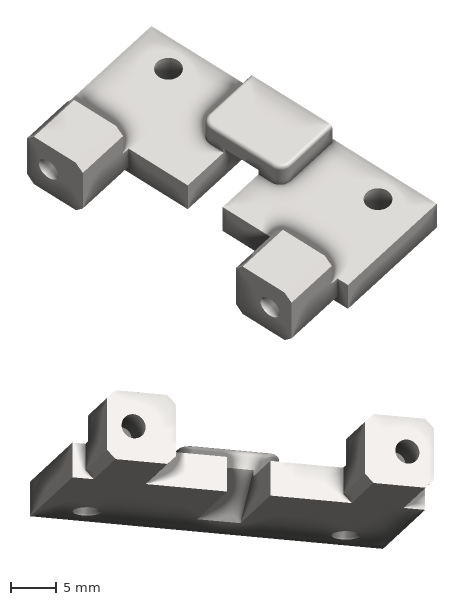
import cadquery as cq

width = 41.0
depth = 23.5
front_y = -depth

plate_depth = 15.5
plate_height = 4.0
screw_hole_diameter = 3.2
screw_hole_x = 15.05
screw_hole_y = -3.65

arm_size = 8.0
arm_chamfer = 1.0
arm_inset = 1.5
arm_x = width / 2 - arm_inset - arm_size / 2
block_depth = 7.0
block_back_y = front_y + block_depth
cap_thickness = 0.5
cap_back_y = front_y + cap_thickness

bore_diameter = 2.8
bore_x = 15.9
bore_z = arm_size / 2
bore_depth = 5.0

pad_width = 11.75
pad_back_y = -0.5
pad_front_y = -9.25
pad_top = 7.0
pad_corner_radius = 1.5
pad_edge_radius = 0.5

slot_width = 5.0
slot_height = 4.75

sides = (-1, 1)


def box(x_size, y_front, y_back, z_bottom, z_top):
    """Box centred on X between the given Y and Z limits."""
    return (
        cq.Workplane("XY")
        .box(x_size, y_back - y_front, z_top - z_bottom, centered=(True, False, False))
        .translate((0, y_front, z_bottom))
    )


def arm_prism(side, y_front, y_back):
    """Square prism with chamfered long edges on one side of the part."""
    prism = box(arm_size, y_front, y_back, 0, arm_size)
    return prism.edges("|Y").chamfer(arm_chamfer).translate((side * arm_x, 0, 0))


def make_bore(side):
    """Cylinder running back from the front end of one arm."""
    return cq.Workplane(
        cq.Solid.makeCylinder(
            bore_diameter / 2, bore_depth, cq.Vector(side * bore_x, front_y, bore_z), cq.Vector(0, 1, 0)
        )
    )


def make_plate():
    plate = box(width, -plate_depth, 0, 0, plate_height)
    screw_points = [(side * screw_hole_x, screw_hole_y) for side in sides]
    screw_holes = (
        cq.Workplane("XY").pushPoints(screw_points).circle(screw_hole_diameter / 2).extrude(plate_height)
    )
    return plate.cut(screw_holes)


def make_arm(side):
    """Low neck leaving the plate, rising to a full-height block behind the cap."""
    arm = arm_prism(side, cap_back_y, -plate_depth)
    space_above_neck = box(width, block_back_y, -plate_depth, plate_height, arm_size)
    return arm.cut(space_above_neck).cut(make_bore(side))


def make_pad():
    pad = box(pad_width, pad_front_y, pad_back_y, plate_height, pad_top)
    pad = pad.edges("|Z and <Y").fillet(pad_corner_radius)
    return pad.faces(">Z").edges("not >Y").fillet(pad_edge_radius)


def make_slot():
    profile = [
        (-plate_depth, 0),
        (pad_front_y + slot_height, 0),
        (pad_front_y, slot_height),
        (-plate_depth, slot_height),
    ]
    return cq.Workplane("YZ").polyline(profile).close().extrude(slot_width / 2, both=True)


def make_bracket():
    bracket = make_plate().union(make_pad())
    for side in sides:
        bracket = bracket.union(make_arm(side))
    return bracket.cut(make_slot())


def make_end_cap(side):
    return arm_prism(side, front_y, cap_back_y).cut(make_bore(side))


bracket = make_bracket()
end_caps = [make_end_cap(side) for side in sides]

result = cq.Compound.makeCompound([bracket.val(), *[cap.val() for cap in end_caps]])